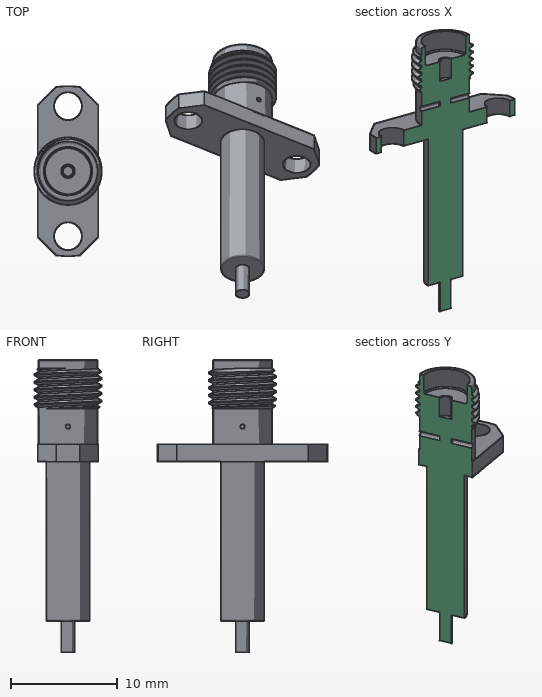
import cadquery as cq
import math

flange_thickness = 1.65
body_height = 7.9
barrel_length = 14.95
pin_length = 2.95

flange_width = 5.7
flange_length = 15.98
flange_end_width = 2.24
flange_hole_diameter = 2.59
flange_hole_spacing = 12.2

body_diameter = 5.58
body_edge_radius = 0.127
body_top = flange_thickness + body_height

bore_diameter = 4.57
bore_floor_diameter = 4.31
bore_depth = 1.95
bore_floor = body_top - bore_depth
contact_seat_diameter = 1.29
contact_diameter = 1.19
contact_bore_diameter = 0.94
contact_bore_depth = 2.0

barrel_diameter = 4.09
barrel_edge_radius = 0.1
pin_diameter = 1.29

thread_diameter = 6.35
thread_pitch = 25.4 / 36
thread_depth = (thread_diameter - body_diameter) / 2
thread_crest = thread_pitch / 8
thread_flank_angle = 30.0
thread_length = 3.78
thread_top = body_top - 0.79
thread_bottom = thread_top - thread_length
thread_overlap = 0.1
thread_phase = 0.0

side_hole_diameter = 0.42
side_hole_height = body_top - 6.25


def cylinder(diameter, bottom, height):
    return cq.Workplane("XY").workplane(offset=bottom).circle(diameter / 2).extrude(height)


def make_flange():
    half_width = flange_width / 2
    half_end = flange_end_width / 2
    end_radius = flange_length / 2
    end_y = math.sqrt(end_radius**2 - half_end**2)
    corner_y = end_y - (half_width - half_end)
    return (
        cq.Workplane("XY")
        .moveTo(half_width, -corner_y)
        .lineTo(half_width, corner_y)
        .lineTo(half_end, end_y)
        .threePointArc((0, end_radius), (-half_end, end_y))
        .lineTo(-half_width, corner_y)
        .lineTo(-half_width, -corner_y)
        .lineTo(-half_end, -end_y)
        .threePointArc((0, -end_radius), (half_end, -end_y))
        .close()
        .extrude(flange_thickness)
        .pushPoints([(0, flange_hole_spacing / 2), (0, -flange_hole_spacing / 2)])
        .circle(flange_hole_diameter / 2)
        .cutThruAll()
    )


def make_body():
    body = cylinder(body_diameter, flange_thickness, body_height)
    return body.faces(">Z").edges().fillet(body_edge_radius)


def make_barrel_and_pin():
    barrel = cylinder(barrel_diameter, -barrel_length, barrel_length)
    barrel = barrel.faces("<Z").edges().fillet(barrel_edge_radius)
    pin = cylinder(pin_diameter, -barrel_length - pin_length, pin_length)
    return barrel.union(pin)


def make_thread():
    """Helical ridge, run out on a 45 degree chamfer at both ends of the threaded length."""
    body_radius = body_diameter / 2
    crest_radius = thread_diameter / 2
    inner_radius = body_radius - thread_overlap
    half_crest = thread_crest / 2
    half_base = half_crest + (thread_depth + thread_overlap) * math.tan(math.radians(thread_flank_angle))
    start = thread_bottom - thread_pitch
    helix_height = thread_length + 2 * thread_pitch
    helix = cq.Wire.makeHelix(thread_pitch, helix_height, body_radius)
    ridge = (
        cq.Workplane("XZ")
        .moveTo(inner_radius, -half_base)
        .lineTo(crest_radius, -half_crest)
        .lineTo(crest_radius, half_crest)
        .lineTo(inner_radius, half_base)
        .close()
        .sweep(cq.Workplane(helix), isFrenet=True)
        .rotate((0, 0, 0), (0, 0, 1), thread_phase)
        .translate((0, 0, start))
    )
    clearance = thread_depth
    envelope = cylinder(thread_diameter + 2 * clearance, thread_bottom, thread_length)
    return ridge.intersect(envelope.faces("|Z").edges().chamfer(thread_depth + clearance))


def make_bore():
    """Mating bore with a bevelled floor edge."""
    bore_radius = bore_diameter / 2
    floor_radius = bore_floor_diameter / 2
    return (
        cq.Workplane("XZ")
        .moveTo(0, body_top)
        .lineTo(bore_radius, body_top)
        .lineTo(bore_radius, bore_floor + bore_radius - floor_radius)
        .lineTo(floor_radius, bore_floor)
        .lineTo(0, bore_floor)
        .close()
        .revolve(360, (0, 0, 0), (0, 1, 0))
    )


def make_contact_socket():
    """Hole in the contact and the narrow ring of clearance around the contact."""
    bottom = bore_floor - contact_bore_depth
    seat = cylinder(contact_seat_diameter, bottom, contact_bore_depth)
    contact = cylinder(contact_diameter, bottom, contact_bore_depth)
    hole = cylinder(contact_bore_diameter, bottom, contact_bore_depth)
    return seat.cut(contact).union(hole)


def make_side_holes():
    """Four radial holes, each ending at the line of the central pin."""
    inner_radius = pin_diameter / 2
    holes = cq.Workplane("XY")
    for plane in ("XZ", "YZ"):
        for side in (1, -1):
            hole = (
                cq.Workplane(plane)
                .workplane(offset=side * inner_radius)
                .center(0, side_hole_height)
                .circle(side_hole_diameter / 2)
                .extrude(side * body_diameter / 2)
            )
            holes = holes.union(hole)
    return holes


result = make_flange().union(make_body()).union(make_barrel_and_pin())
result = result.cut(make_bore()).cut(make_contact_socket()).cut(make_side_holes())
result = result.union(make_thread())